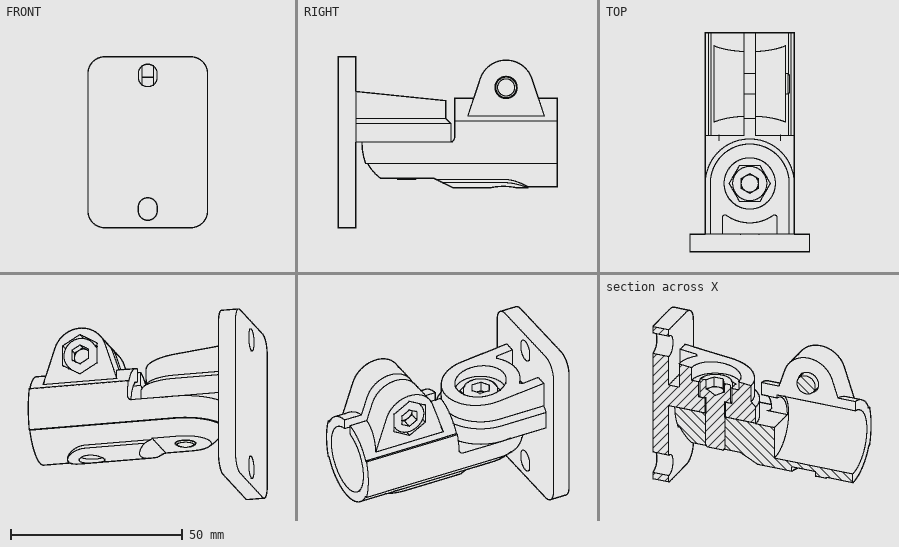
import cadquery as cq
import math


overall_length = 64.0
hinge_y = 20.0

plate_width = 35.0
plate_height = 50.0
plate_thickness = 5.2
plate_corner_radius = 5.0
slot_width = 5.5
slot_height = 6.5
slot_spacing = 39.0

lug_radius = 13.0
lug_chamfer = 1.5
lug_chamfer_bottom = 5.45
lug_front_height = 12.15
lug_plate_height = 14.85
lug_counterbore_diameter = 15.0
lug_counterbore_floor = 10.0
lug_pocket_width = 16.0
lug_pocket_rim_radius = 11.5
lug_pocket_reach = 10.75
lug_pocket_corner_radius = 0.8

tube_radius = 13.0
side_half_width = 13.05
side_band_half_height = 6.3
side_band_edge = 12.0
bore_diameter = 20.0
bore_depth = 25.0
throat_radius = 9.0
tube_length = 30.0
step_fillet = 1.5
arm_bottom = -10.55
clamp_slot_width = 3.3

ear_half_width = 10.5
ear_axis_z = 16.0
ear_radius = 8.0
ear_base_half_length = 11.15
ear_base_z = 7.75
ear_axis_from_end = 15.0

pad_half_width = 7.2
pad_edge_z = -11.8
pad_bottom = -13.3
pad_centre_from_end = 15.75
pad_front_from_end = 30.45
pad_ramp_front_from_end = 36.0
dimple_diameter = 7.5
dimple_depth = 1.5

screw_diameter = 6.0
screw_length = 16.0
screw_tip_chamfer = 0.5
head_diameter = 10.0
head_height = 6.0
head_rounding = 0.5
socket_width = 5.0
socket_depth = 3.0
socket_cone_depth = 1.5
clearance_diameter = 6.5
seat_width = 10.4
clamp_screw_tip_x = 11.65
hinge_screw_tip_z = -10.95

arm_end_y = overall_length
ear_axis_y = arm_end_y - ear_axis_from_end
tube_front_y = arm_end_y - tube_length
pad_centre_y = arm_end_y - pad_centre_from_end
tube_band_edge = math.sqrt(tube_radius**2 - side_band_half_height**2)
clamp_seat_x = clamp_screw_tip_x - screw_length
hinge_seat_z = hinge_screw_tip_z + screw_length
lug_ledge_z = lug_chamfer_bottom + lug_chamfer
lug_upper_radius = lug_radius - lug_chamfer
lug_front_y = hinge_y + lug_upper_radius


def hexagon_prism(width, height):
    """Upright hexagonal prism standing on Z = 0, with two corners on the X axis."""
    corner_diameter = width / math.cos(math.pi / 6)
    return cq.Workplane("XY").polygon(6, corner_diameter).extrude(height)


def at_hinge(shape, z):
    """Place an upright shape on the hinge axis at height z."""
    return shape.translate((0, hinge_y, z))


def at_clamp(shape, x):
    """Turn an upright shape so that its top points to -X, and place it on the ear axis."""
    return shape.rotate((0, 0, 0), (0, 1, 0), -90).translate((x, ear_axis_y, ear_axis_z))


def make_screw():
    """Socket head screw with its head underside on Z = 0, shank along -Z and socket corners on X."""
    shank = (
        cq.Workplane("XY").circle(screw_diameter / 2).extrude(-screw_length)
        .faces("<Z").chamfer(screw_tip_chamfer)
    )
    head = (
        cq.Workplane("XY").circle(head_diameter / 2).extrude(head_height)
        .faces(">Z").edges().fillet(head_rounding)
    )
    socket_floor = head_height - socket_depth
    socket = hexagon_prism(socket_width, socket_depth).translate((0, 0, socket_floor))
    cone = cq.Solid.makeCone(0, socket_width / 2, socket_cone_depth)
    cone = cone.translate(cq.Vector(0, 0, socket_floor - socket_cone_depth))
    return shank.union(head).cut(socket).cut(cone)


def make_plate():
    """Rounded plate with an upright slot near each end."""
    plate = (
        cq.Workplane("XZ").rect(plate_width, plate_height).extrude(-plate_thickness)
        .edges("|Y").fillet(plate_corner_radius)
    )
    slots = (
        cq.Workplane("XZ").pushPoints([(0, slot_spacing / 2), (0, -slot_spacing / 2)])
        .slot2D(slot_height, slot_width, 90).extrude(-plate_thickness)
    )
    return plate.cut(slots)


def lug_outline(radius, bottom, height):
    """Straight-sided block from the plate, rounded about the hinge axis."""
    return (
        cq.Workplane("XY").workplane(offset=bottom)
        .moveTo(-radius, plate_thickness)
        .lineTo(radius, plate_thickness)
        .lineTo(radius, hinge_y)
        .threePointArc((0, hinge_y + radius), (-radius, hinge_y))
        .close().extrude(height)
    )


def make_lug():
    """Chamfered base with a narrower top that slopes up to the plate."""
    base = lug_outline(lug_radius, 0, lug_ledge_z)
    base = base.faces(">Z").edges("not(<Y)").chamfer(lug_chamfer)
    upper = lug_outline(lug_upper_radius, lug_ledge_z, lug_plate_height - lug_ledge_z)
    above_slope = (
        cq.Workplane("YZ")
        .moveTo(plate_thickness, lug_plate_height)
        .lineTo(lug_front_y, lug_plate_height)
        .lineTo(lug_front_y, lug_front_height)
        .close().extrude(lug_radius, both=True)
    )
    return base.union(upper.cut(above_slope))


def make_lug_pocket():
    """Blind recess beside the plate, with a rim concentric with the hinge."""
    height = lug_plate_height - lug_ledge_z
    block = (
        cq.Workplane("XY").workplane(offset=lug_ledge_z)
        .center(0, (plate_thickness + lug_pocket_reach) / 2)
        .rect(lug_pocket_width, lug_pocket_reach - plate_thickness).extrude(height)
    )
    rim = at_hinge(cq.Workplane("XY").circle(lug_pocket_rim_radius).extrude(height), lug_ledge_z)
    return block.cut(rim).edges("|Z and >Y").fillet(lug_pocket_corner_radius)


def make_bracket():
    """Mounting plate and hinge lug, bored for the hinge screw."""
    counterbore = cq.Workplane("XY").circle(lug_counterbore_diameter / 2).extrude(lug_plate_height)
    clearance = cq.Workplane("XY").circle(clearance_diameter / 2).extrude(lug_plate_height)
    return (
        make_plate()
        .union(make_lug())
        .cut(make_lug_pocket())
        .cut(at_hinge(counterbore, lug_counterbore_floor))
        .cut(at_hinge(hexagon_prism(seat_width, lug_plate_height), hinge_seat_z))
        .cut(at_hinge(clearance, 0))
    )


def make_arm_body():
    """Tube section with bulged side bands, and its half section turned about the hinge axis."""
    tube = (
        cq.Workplane("XZ", origin=(0, hinge_y, 0))
        .moveTo(tube_band_edge, side_band_half_height)
        .lineTo(side_band_edge, side_band_half_height)
        .threePointArc((side_half_width, 0), (side_band_edge, -side_band_half_height))
        .lineTo(tube_band_edge, -side_band_half_height)
        .threePointArc((0, -tube_radius), (-tube_band_edge, -side_band_half_height))
        .lineTo(-side_band_edge, -side_band_half_height)
        .threePointArc((-side_half_width, 0), (-side_band_edge, side_band_half_height))
        .lineTo(-tube_band_edge, side_band_half_height)
        .threePointArc((0, tube_radius), (tube_band_edge, side_band_half_height))
        .close().extrude(hinge_y - arm_end_y)
    )
    arc_diagonal = tube_radius * math.cos(math.pi / 4)
    rounded_end = (
        cq.Workplane("XZ")
        .moveTo(0, side_band_half_height)
        .lineTo(side_band_edge, side_band_half_height)
        .threePointArc((side_half_width, 0), (side_band_edge, -side_band_half_height))
        .lineTo(tube_band_edge, -side_band_half_height)
        .threePointArc((arc_diagonal, -arc_diagonal), (0, -tube_radius))
        .close().revolve(360, (0, 0), (0, 1))
    )
    return tube.union(at_hinge(rounded_end, 0))


def make_shelf_cut():
    """Space for the bracket lug above Z = 0, rounded where it meets the tube front."""
    block = cq.Workplane("XY").box(
        2 * side_half_width, tube_front_y, tube_radius, centered=(True, False, False)
    )
    return block.edges(">Y and <Z").fillet(step_fillet)


def make_cavity():
    """Round bore from the open end, then a half-round throat above the shelf."""
    bore = (
        cq.Workplane("XZ", origin=(0, arm_end_y, 0)).circle(bore_diameter / 2).extrude(bore_depth)
    )
    throat = (
        cq.Workplane("XZ", origin=(0, arm_end_y, 0))
        .moveTo(-throat_radius, 0)
        .lineTo(throat_radius, 0)
        .threePointArc((0, throat_radius), (-throat_radius, 0))
        .close().extrude(tube_length + step_fillet)
    )
    return bore.union(throat)


def make_ears():
    """Tapered ears with straight flanks tangent to their round top."""
    drop = ear_axis_z - ear_base_z
    to_base_corner = math.hypot(ear_base_half_length, drop)
    tangent_angle = math.acos(ear_radius / to_base_corner) - math.atan2(drop, ear_base_half_length)
    tangent_y = ear_radius * math.cos(tangent_angle)
    tangent_z = ear_axis_z + ear_radius * math.sin(tangent_angle)
    foot_half_length = tangent_y + tangent_z * math.tan(tangent_angle)
    return (
        cq.Workplane("YZ", origin=(0, ear_axis_y, 0))
        .moveTo(-foot_half_length, 0)
        .lineTo(foot_half_length, 0)
        .lineTo(tangent_y, tangent_z)
        .threePointArc((0, ear_axis_z + ear_radius), (-tangent_y, tangent_z))
        .close().extrude(ear_half_width, both=True)
    )


def make_pad():
    """Crowned pad under the tube, round at the open end of the tube."""
    plan = (
        cq.Workplane("XY").workplane(offset=pad_bottom)
        .moveTo(-pad_half_width, hinge_y)
        .lineTo(pad_half_width, hinge_y)
        .lineTo(pad_half_width, pad_centre_y)
        .threePointArc((0, pad_centre_y + pad_half_width), (-pad_half_width, pad_centre_y))
        .close().extrude(-pad_bottom)
    )
    crown = (
        cq.Workplane("XZ", origin=(0, arm_end_y, 0))
        .moveTo(-pad_half_width, 0)
        .lineTo(-pad_half_width, pad_edge_z)
        .threePointArc((0, pad_bottom), (pad_half_width, pad_edge_z))
        .lineTo(pad_half_width, 0)
        .close().extrude(arm_end_y - hinge_y)
    )
    return plan.intersect(crown)


def make_underside_cut():
    """Flat under the hinge end, with a ramp down to the pad."""
    ramp_front_y = arm_end_y - pad_ramp_front_from_end
    ramp_back_y = arm_end_y - pad_front_from_end
    return (
        cq.Workplane("YZ")
        .moveTo(0, arm_bottom)
        .lineTo(ramp_front_y, arm_bottom)
        .lineTo(ramp_back_y, pad_bottom)
        .lineTo(0, pad_bottom)
        .close().extrude(tube_radius, both=True)
    )


def make_arm():
    """Slotted clamp tube with ears, underside pad and the seats of both screws."""
    clamp_slot = (
        cq.Workplane("XY")
        .box(clamp_slot_width, tube_length, ear_axis_z + ear_radius, centered=(True, False, False))
        .translate((0, tube_front_y, 0))
    )
    dimple = (
        cq.Workplane("XY", origin=(0, pad_centre_y, pad_bottom))
        .circle(dimple_diameter / 2).extrude(dimple_depth)
    )
    hinge_hole = cq.Workplane("XY").circle(screw_diameter / 2).extrude(-tube_radius)
    clamp_hole = (
        cq.Workplane("XY").circle(clearance_diameter / 2).extrude(ear_half_width, both=True)
    )
    clamp_seat = hexagon_prism(seat_width, ear_half_width)
    return (
        make_arm_body()
        .union(make_ears())
        .union(make_pad())
        .cut(make_underside_cut())
        .cut(make_shelf_cut())
        .cut(make_cavity())
        .cut(clamp_slot)
        .cut(dimple)
        .cut(at_hinge(hinge_hole, 0))
        .cut(at_clamp(clamp_hole, 0))
        .cut(at_clamp(clamp_seat, clamp_seat_x))
    )


bracket = make_bracket()
arm = make_arm()
hinge_screw = at_hinge(make_screw().rotate((0, 0, 0), (0, 0, 1), 90), hinge_seat_z)
clamp_screw = at_clamp(make_screw(), clamp_seat_x)

bodies = [bracket, arm, hinge_screw, clamp_screw]
result = cq.Compound.makeCompound([body.solids().val() for body in bodies])